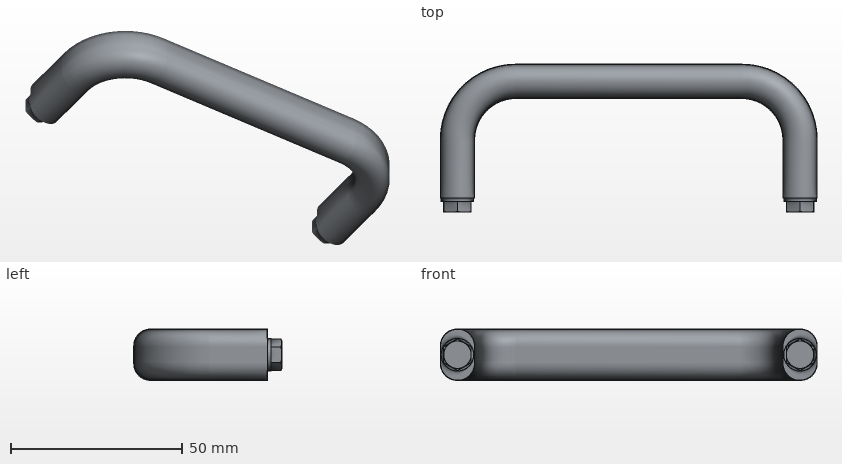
import cadquery as cq
import math

handle_length = 110.0
handle_height = 39.0
bar_width = 10.0
bar_depth = 15.0
outer_bend_radius = 22.0

flange_diameter = 9.5
flange_thickness = 1.0
hex_across_flats = 8.0
hex_height = 3.2
hex_sides = 6
hex_chamfer_angle = 20.0

bend_radius = outer_bend_radius - bar_width / 2
leg_x = (handle_length - bar_width) / 2
crossbar_y = handle_height - bar_width / 2
bend_x = leg_x - bend_radius
bend_y = crossbar_y - bend_radius
bend_mid = bend_radius * math.sqrt(0.5)
hex_across_corners = hex_across_flats / math.cos(math.pi / hex_sides)


def make_handle():
    """Bar with its feet on the plane Y = 0 and its crossbar at +Y."""
    path = (
        cq.Workplane("XY")
        .moveTo(-leg_x, 0)
        .lineTo(-leg_x, bend_y)
        .threePointArc((-bend_x - bend_mid, bend_y + bend_mid), (-bend_x, crossbar_y))
        .lineTo(bend_x, crossbar_y)
        .threePointArc((bend_x + bend_mid, bend_y + bend_mid), (leg_x, bend_y))
        .lineTo(leg_x, 0)
    )
    return (
        cq.Workplane("XZ", origin=(-leg_x, 0, 0))
        .slot2D(bar_depth, bar_width, 90)
        .sweep(path)
    )


def make_screw_head(x):
    """Flange and chamfered hexagon standing out of a foot towards -Y."""
    foot = cq.Workplane("XZ", origin=(x, 0, 0))
    flange = foot.circle(flange_diameter / 2).extrude(flange_thickness)

    hexagon = (
        foot.workplane(offset=flange_thickness)
        .transformed(rotate=(0, 0, 90))
        .polygon(hex_sides, hex_across_corners)
        .extrude(hex_height)
    )

    corner_radius = hex_across_corners / 2
    end_radius = hex_across_flats / 2
    chamfer_height = (corner_radius - end_radius) * math.tan(math.radians(hex_chamfer_angle))
    tip_y = -(flange_thickness + hex_height)
    envelope = (
        cq.Workplane("XY", origin=(x, 0, 0))
        .moveTo(0, 0)
        .lineTo(corner_radius, 0)
        .lineTo(corner_radius, tip_y + chamfer_height)
        .lineTo(end_radius, tip_y)
        .lineTo(0, tip_y)
        .close()
        .revolve(360, (0, 0, 0), (0, 1, 0))
    )
    return flange.union(hexagon.intersect(envelope))


result = make_handle()
for screw_x in (-leg_x, leg_x):
    result = result.union(make_screw_head(screw_x))